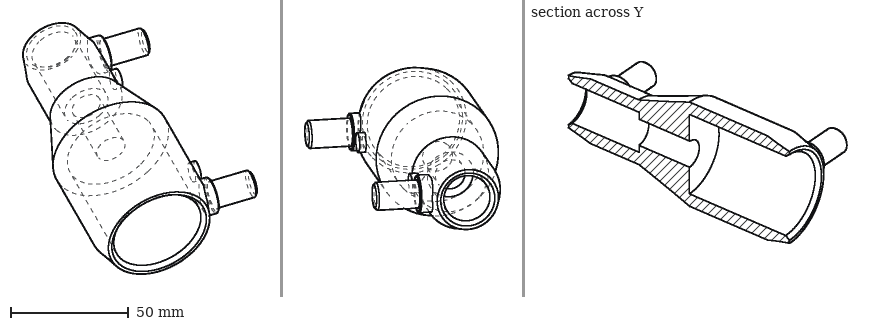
import cadquery as cq
import math


length = 120.0
wall = 6.5
small_socket_radius = 10.0
large_socket_radius = 20.0
small_radius = small_socket_radius + wall
large_radius = large_socket_radius + wall

end_taper_length = 12.0
end_taper_angle = 15.0
end_taper_drop = end_taper_length * math.tan(math.radians(end_taper_angle))

transition_end = 65.8
transition_angle = 20.0
transition_length = (large_radius - small_radius) / math.tan(math.radians(transition_angle))
transition_start = transition_end - transition_length

bore_radius = 6.5
lead_in_widening = 1.7
lead_in_length = 2.0

terminal_inset = 12.3
terminal_rise = 21.5
pin_radius = 6.0
pin_chamfer = 1.0
collar_radius = 8.0
collar_rise = 3.0
collar_chamfer = 0.5

stud_spacing = 16.0
stud_radius = 4.2
stud_rise = 2.75

embed_depth = 4.5


def make_body():
    """Outer body, before the sockets are cut."""
    outline = [
        (0, 0),
        (0, small_radius - end_taper_drop),
        (end_taper_length, small_radius),
        (transition_start, small_radius),
        (transition_end, large_radius),
        (length - end_taper_length, large_radius),
        (length, large_radius - end_taper_drop),
        (length, 0),
    ]
    return cq.Workplane("XY").polyline(outline).close().revolve(360, (0, 0), (1, 0))


def make_cavity():
    """Two pipe sockets with conical lead-ins, joined by a narrower bore."""
    outline = [
        (0, 0),
        (0, small_socket_radius + lead_in_widening),
        (lead_in_length, small_socket_radius),
        (transition_start, small_socket_radius),
        (transition_start, bore_radius),
        (transition_end, bore_radius),
        (transition_end, large_socket_radius),
        (length - lead_in_length, large_socket_radius),
        (length, large_socket_radius + lead_in_widening),
        (length, 0),
    ]
    return cq.Workplane("XY").polyline(outline).close().revolve(360, (0, 0), (1, 0))


def make_post(x, radius, bottom, top):
    """Upright cylinder along +Y, centred on the given X."""
    plane = cq.Plane(origin=(x, bottom, 0), xDir=(1, 0, 0), normal=(0, 1, 0))
    return cq.Workplane(plane).circle(radius).extrude(top - bottom)


def make_terminal(x, sleeve_radius):
    """Chamfered pin on a chamfered collar."""
    bottom = sleeve_radius - embed_depth
    collar = make_post(x, collar_radius, bottom, sleeve_radius + collar_rise)
    collar = collar.faces(">Y").chamfer(collar_chamfer)
    pin = make_post(x, pin_radius, bottom, sleeve_radius + terminal_rise)
    pin = pin.faces(">Y").chamfer(pin_chamfer)
    return collar.union(pin)


def make_stud(x, sleeve_radius):
    """Short indicator stud."""
    return make_post(x, stud_radius, sleeve_radius - embed_depth, sleeve_radius + stud_rise)


stud_inset = terminal_inset + stud_spacing

result = make_body().cut(make_cavity())
result = result.union(make_terminal(terminal_inset, small_radius))
result = result.union(make_terminal(length - terminal_inset, large_radius))
result = result.union(make_stud(stud_inset, small_radius))
result = result.union(make_stud(length - stud_inset, large_radius))